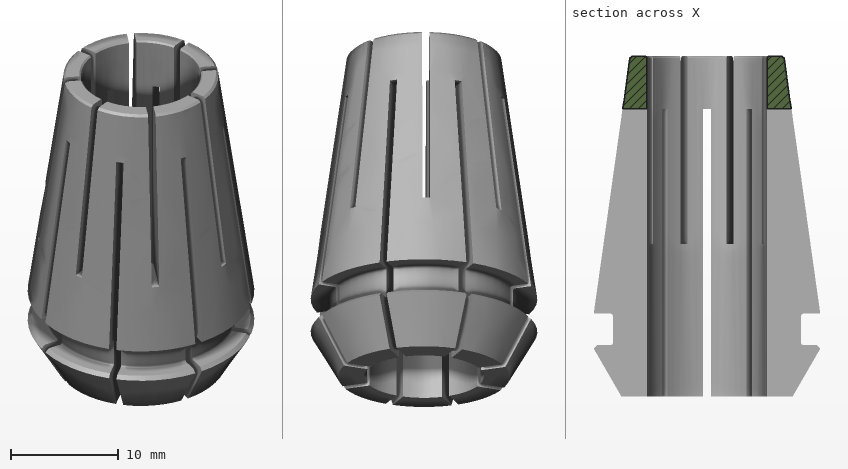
import cadquery as cq
import math

total_height = 31.5
max_radius = 10.5
bore_radius = 11.11 / 2

nose_half_angle = 30.0
nose_bottom_radius = 7.95
lip_edge_height = (max_radius - nose_bottom_radius) / math.tan(math.radians(nose_half_angle))

groove_radius = 8.73
groove_bottom = 4.75
groove_top = 7.65
groove_fillet = 0.2
lip_chamfer_width = 0.35

taper_half_angle = 8.0
taper_rise = total_height - groove_top
taper_top_radius = max_radius - taper_rise * math.tan(math.radians(taper_half_angle))

outer_top_chamfer = 0.2
bore_chamfer = 0.15

slot_width = 0.7
slots_per_end = 8
slot_reach = max_radius + 1.0
slot_pitch = 360.0 / slots_per_end
lower_slot_top = 26.6
upper_slot_floor = 14.1


def make_body():
    """Revolve the solid outer profile, with its groove and lip, about Z."""
    profile = (
        cq.Workplane("XZ")
        .polyline([
            (0, 0),
            (nose_bottom_radius, 0),
            (max_radius, lip_edge_height),
            (max_radius - lip_chamfer_width, groove_bottom),
            (groove_radius, groove_bottom),
            (groove_radius, groove_top),
            (max_radius, groove_top),
            (taper_top_radius, total_height),
            (0, total_height),
        ])
        .close()
    )
    body = profile.revolve(360, (0, 0, 0), (0, 1, 0))
    body = body.faces(">Z").edges().chamfer(outer_top_chamfer)
    groove_zone = cq.selectors.BoxSelector(
        (-max_radius, -max_radius, groove_bottom - groove_fillet),
        (max_radius, max_radius, groove_top + groove_fillet),
    )
    groove_circles = body.edges(groove_zone).edges("%CIRCLE")
    return groove_circles.edges(cq.selectors.RadiusNthSelector(0)).fillet(groove_fillet)


def cut_bore(body):
    """Drill the through bore and break its edge at the top."""
    bored = body.cut(cq.Workplane("XY").circle(bore_radius).extrude(total_height))
    bore_rim = cq.selectors.RadiusNthSelector(0)
    return bored.faces(">Z").edges(bore_rim).chamfer(bore_chamfer)



def cut_slots(body, bottom, top, first_angle):
    """Cut evenly spaced radial slots through the wall between two heights."""
    slot = (
        cq.Workplane("XY")
        .workplane(offset=bottom)
        .rect(slot_reach, slot_width)
        .extrude(top - bottom)
        .translate((slot_reach / 2, 0, 0))
    )
    for index in range(slots_per_end):
        angle = first_angle + index * slot_pitch
        body = body.cut(slot.rotate((0, 0, 0), (0, 0, 1), angle))
    return body


collet = cut_bore(make_body())
collet = cut_slots(collet, 0, lower_slot_top, 0)
collet = cut_slots(collet, upper_slot_floor, total_height, slot_pitch / 2)

result = collet